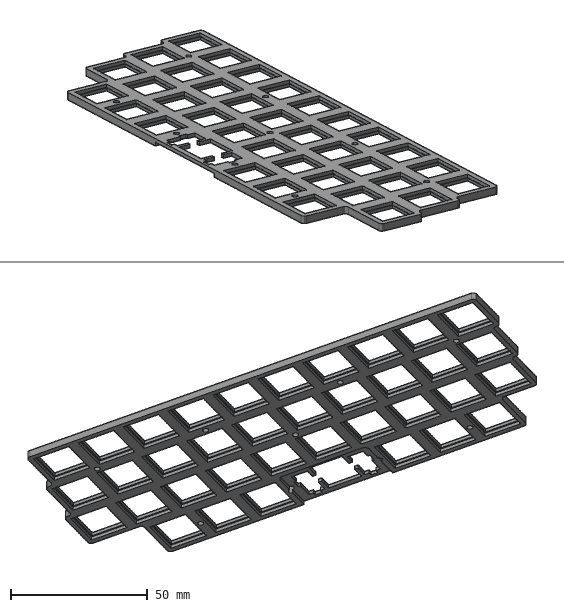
import cadquery as cq

length = 196.8
thickness = 3.0
corner_radius = 1.4

key_opening = 14.0
clip_opening = 15.0
clip_height = thickness / 2
margin = 2.4
keys_per_row = 10
row_count = 4
front_row = row_count - 1
front_key_columns = (1, 2, 3, 6, 7, 8)
stagger = 6.7
row_shift = stagger / 2
pitch = (length - stagger - 2 * margin - key_opening) / (keys_per_row - 1)
cell_reach = key_opening / 2 + margin
row_half = (keys_per_row - 1) / 2 * pitch + cell_reach
front_half = row_half - pitch

hole_diameter = 2.2
wide_key_hole_x = 18.7

stab_offset = 11.8
stab_width = 6.7
stab_back = 5.7
stab_front = 6.7
stab_foot_width = 3.0
stab_foot_front = 8.0
stab_ear_reach = 16.1
stab_ear_back = 2.4
stab_ear_front = 0.5
wire_slot_width = 4.1

relief_width = 37.5
relief_height = thickness / 2
relief_radius = 2.0


def row_y(row):
    """Y of the middle of a row of keys."""
    return (front_row / 2 - row) * pitch


def row_center_x(row):
    """Middle of a row: the front row lines up with the second one."""
    if row == front_row:
        return 0.0
    return (row - 1) * row_shift


def key_x(row, column):
    return row_center_x(row) + (column - (keys_per_row - 1) / 2) * pitch


def box(x_min, x_max, y_min, y_max, height=thickness):
    """Upright block standing on the underside of the plate."""
    return (
        cq.Workplane("XY")
        .center((x_min + x_max) / 2, (y_min + y_max) / 2)
        .rect(x_max - x_min, y_max - y_min)
        .extrude(height)
    )


def plate_blank():
    """Stepped outline that follows the staggered rows."""
    left = [row_center_x(row) - row_half for row in range(front_row)]
    right = [row_center_x(row) + row_half for row in range(front_row)]
    back = row_y(0) + cell_reach
    front = row_y(front_row) - cell_reach
    shelf = row_y(2) - cell_reach
    outline = [
        (left[0], back),
        (right[0], back),
        (right[0], row_y(1) + cell_reach),
        (right[1], row_y(1) + cell_reach),
        (right[1], row_y(2) + cell_reach),
        (right[2], row_y(2) + cell_reach),
        (right[2], shelf),
        (front_half, shelf),
        (front_half, front),
        (-front_half, front),
        (-front_half, shelf),
        (left[2], shelf),
        (left[2], row_y(1) - cell_reach),
        (left[1], row_y(1) - cell_reach),
        (left[1], row_y(0) - cell_reach),
        (left[0], row_y(0) - cell_reach),
    ]
    blank = cq.Workplane("XY").polyline(outline).close().extrude(thickness)
    return blank.edges("|Z").fillet(corner_radius)


def key_openings():
    """Stepped square switch openings; the wide key takes two columns of the front row."""
    centers = [(key_x(row, column), row_y(row)) for row in range(front_row) for column in range(keys_per_row)]
    centers += [(key_x(front_row, column), row_y(front_row)) for column in front_key_columns]
    centers.append((0, row_y(front_row)))
    spots = cq.Workplane("XY").pushPoints(centers)
    through = spots.rect(key_opening, key_opening).extrude(thickness)
    clip_recess = spots.rect(clip_opening, clip_opening).extrude(clip_height)
    return through.union(clip_recess)


def mounting_holes():
    """Round holes in the webs between the keys."""
    back_gap = (row_y(0) + row_y(1)) / 2
    middle_gap = (row_y(1) + row_y(2)) / 2
    centers = [
        ((key_x(0, 0) + key_x(0, 1)) / 2, back_gap),
        ((key_x(0, 3) + key_x(1, 3)) / 2, back_gap),
        ((key_x(0, 6) + key_x(1, 6)) / 2, back_gap),
        ((key_x(0, 8) + key_x(0, 9)) / 2, back_gap),
        (0, middle_gap),
    ]
    for x in (wide_key_hole_x, 3 * pitch):
        centers += [(-x, row_y(front_row)), (x, row_y(front_row))]
    return cq.Workplane("XY").pushPoints(centers).circle(hole_diameter / 2).extrude(thickness)


def stabilizer_cutout():
    """Pair of stabilizer housings joined to the wide key by a wire slot."""
    y = row_y(front_row)
    half = stab_width / 2
    foot_half = stab_foot_width / 2
    housing = box(stab_offset - half, stab_offset + half, y - stab_front, y + stab_back)
    foot = box(stab_offset - foot_half, stab_offset + foot_half, y - stab_foot_front, y)
    ear = box(stab_offset, stab_ear_reach, y - stab_ear_front, y + stab_ear_back)
    slot = box(0, stab_offset, y - wire_slot_width / 2, y + wire_slot_width / 2)
    one_side = housing.union(foot).union(ear).union(slot)
    return one_side.union(one_side.mirror("YZ"))


def underside_relief():
    """Pocket that thins the plate around the wide key, rounded at its back corners."""
    front = row_y(front_row) - cell_reach
    back = row_y(front_row) + cell_reach
    pocket = box(-relief_width / 2, relief_width / 2, front, back, relief_height)
    return pocket.edges("|Z and >Y").fillet(relief_radius)


result = (
    plate_blank()
    .cut(key_openings())
    .cut(mounting_holes())
    .cut(stabilizer_cutout())
    .cut(underside_relief())
)